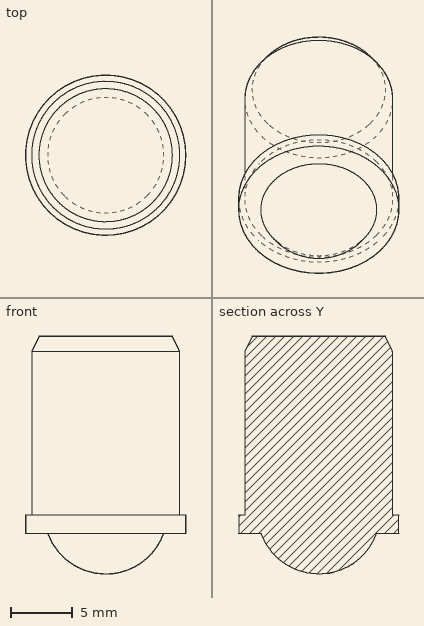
import cadquery as cq
import math

total_height = 19.3
flange_diameter = 13.0
flange_thickness = 1.5
body_diameter = 12.0

taper_height = 1.24
top_diameter = 10.8

ball_radius = 5.0
ball_protrusion = 3.3

flange_bottom = ball_protrusion
flange_top = flange_bottom + flange_thickness
taper_start = total_height - taper_height

exposed_angle = math.acos((ball_radius - ball_protrusion) / ball_radius)


def ball_point(angle):
    """Radius and height on the ball at an angle from its lowest point."""
    return ball_radius * math.sin(angle), ball_radius * (1 - math.cos(angle))


half_section = (
    cq.Workplane("XZ")
    .moveTo(0, 0)
    .threePointArc(ball_point(exposed_angle / 2), ball_point(exposed_angle))
    .lineTo(flange_diameter / 2, flange_bottom)
    .lineTo(flange_diameter / 2, flange_top)
    .lineTo(body_diameter / 2, flange_top)
    .lineTo(body_diameter / 2, taper_start)
    .lineTo(top_diameter / 2, total_height)
    .lineTo(0, total_height)
    .close()
)

result = half_section.revolve(360, (0, 0, 0), (0, 1, 0))